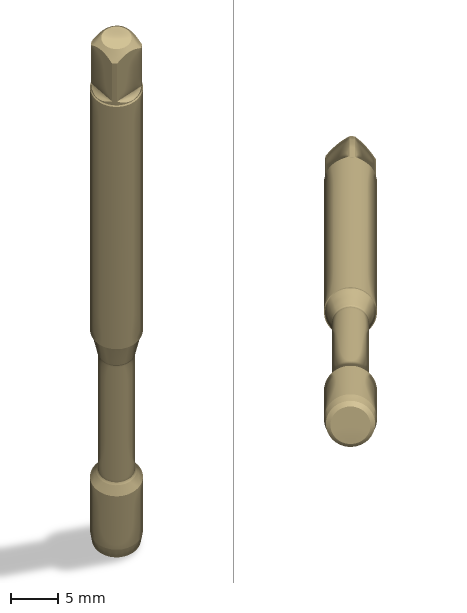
import cadquery as cq

total_length = 80.2
body_diameter = 5.6

head_height = 11.6
collar_diameter = 4.3
head_shoulder_height = 10.35
lead_height = 1.85
lead_end_diameter = 5.2
tip_diameter = 4.25
tip_bevel_height = 0.4

neck_diameter = 3.9
neck_top_height = 30.15
cone_small_diameter = 4.1
collar_height = 0.25
cone_large_diameter = 5.4
shank_bottom_height = 33.8
shank_top_height = 72.35

drive_diameter = 5.4
drive_across_flats = 4.2
drive_end_diameter = 3.2
shank_bevel = (body_diameter - drive_diameter) / 2
flat_bottom_height = 73.1
runout_rise = 0.6
drive_chamfer = (drive_diameter - drive_end_diameter) / 2


def revolve_profile(profile):
    """Revolve (radius, height) points about Z into one solid."""
    return cq.Workplane("XZ").polyline(profile).close().revolve(360, (0, 0, 0), (0, 1, 0))


def make_head():
    """Cutting head: tip bevel, tapered lead, cylinder and conical shoulder with a small bevel."""
    return revolve_profile([
        (0, 0),
        (tip_diameter / 2, 0),
        (lead_end_diameter / 2, tip_bevel_height),
        (body_diameter / 2, lead_height),
        (body_diameter / 2, head_shoulder_height),
        (collar_diameter / 2, head_height - collar_height),
        (neck_diameter / 2, head_height),
        (0, head_height),
    ])


def make_round_shank():
    """Neck, transition cone, shank and the round blank of the drive."""
    return revolve_profile([
        (0, head_height),
        (neck_diameter / 2, head_height),
        (neck_diameter / 2, neck_top_height),
        (cone_small_diameter / 2, neck_top_height + collar_height),
        (cone_large_diameter / 2, shank_bottom_height),
        (body_diameter / 2, shank_bottom_height),
        (body_diameter / 2, shank_top_height),
        (drive_diameter / 2, shank_top_height + shank_bevel),
        (drive_diameter / 2, total_length - drive_chamfer),
        (drive_end_diameter / 2, total_length),
        (0, total_length),
    ])


def make_flat_cutter():
    """Prism that cuts the +X drive flat and its sloped run-out."""
    flat = drive_across_flats / 2
    rim = body_diameter / 2
    return (
        cq.Workplane("XZ")
        .polyline([
            (flat, total_length),
            (flat, flat_bottom_height),
            (rim, flat_bottom_height - runout_rise),
            (rim, total_length),
        ])
        .close()
        .extrude(body_diameter / 2, both=True)
    )


def make_shank():
    """Shank with four drive flats."""
    shank = make_round_shank()
    for angle in (0, 90, 180, 270):
        shank = shank.cut(make_flat_cutter().rotate((0, 0, 0), (0, 0, 1), angle))
    return shank


head = make_head()
shank = make_shank()
result = cq.Compound.makeCompound([head.val(), shank.val()])